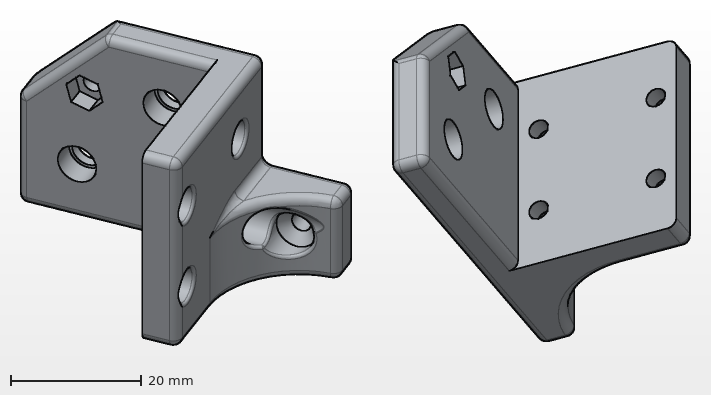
import cadquery as cq
import math

LENGTH = 54.0
DEPTH = 33.05
HEIGHT = 34.7
THICKNESS = 6.05
EDGE_RADIUS = 1.5

TOL = 1e-3
BORE_TOL = 0.01
EDGE_SAMPLES = (0, 0.25, 0.5, 0.75, 1)

FLANGE_LENGTH = 15.0
FLANGE_HEIGHT = 15.0
WALL_OUTER_X = LENGTH - FLANGE_LENGTH
ARC_CENTER_Y = -THICKNESS - FLANGE_LENGTH
WALL_INNER_X = WALL_OUTER_X - THICKNESS

CORNER_CUT = 14.7

PLATE_HOLE_CENTERS = ((10.0, 10.0), (24.4, 24.4))
PLATE_HOLE_DIAMETER = 5.4
PLATE_BORE_DIAMETER = 6.45
PLATE_BORE_DEPTH = 4.2

SCREW_DIAMETER = 3.2
NUT_CENTER = (11.25, 23.5)
NUT_ACROSS_CORNERS = 6.35
NUT_DEPTH = 3.25
NUT_TURN = 15.0

WALL_HOLE_PITCH_Y = 20.0
WALL_HOLE_PITCH_Z = 15.0
WALL_HOLE_MARGIN = 3.5
WALL_FRONT_HOLE_Y = -DEPTH + WALL_HOLE_MARGIN
WALL_BACK_HOLE_Y = WALL_FRONT_HOLE_Y + WALL_HOLE_PITCH_Y
WALL_LOW_HOLE_Z = (HEIGHT - WALL_HOLE_PITCH_Z) / 2
WALL_HIGH_HOLE_Z = WALL_LOW_HOLE_Z + WALL_HOLE_PITCH_Z
OPEN_WALL_HOLES = (
    (WALL_FRONT_HOLE_Y, WALL_LOW_HOLE_Z),
    (WALL_FRONT_HOLE_Y, WALL_HIGH_HOLE_Z),
    (WALL_BACK_HOLE_Y, WALL_HIGH_HOLE_Z),
)
FLANGE_WALL_HOLE = (WALL_BACK_HOLE_Y, WALL_LOW_HOLE_Z)
WALL_BORE_DIAMETER = 5.6
WALL_BORE_DEPTH = 3.0
WALL_BORE_START_X = WALL_OUTER_X - WALL_BORE_DEPTH

FLANGE_BORE_DIAMETER = 6.6

FLANGE_HOLE = (46.5, FLANGE_HEIGHT / 2)
FLANGE_HEAD_DIAMETER = 6.8
FLANGE_SEAT_Y = -5.0

MOUTH_RADIUS = 0.5


def y_cylinder(x, z, diameter, front, back):
    """Cylinder along Y between two Y positions."""
    axis_start = cq.Vector(x, front, z)
    return cq.Workplane(cq.Solid.makeCylinder(diameter / 2, back - front, axis_start, cq.Vector(0, 1, 0)))


def x_cylinder(y, z, diameter, start, end):
    """Cylinder along X between two X positions."""
    axis_start = cq.Vector(start, y, z)
    return cq.Workplane(cq.Solid.makeCylinder(diameter / 2, end - start, axis_start, cq.Vector(1, 0, 0)))


def box(x0, x1, y0, y1, z0, z1):
    """Box between pairs of X, Y and Z positions."""
    return cq.Workplane().box(x1 - x0, y1 - y0, z1 - z0, centered=False).translate((x0, y0, z0))


def arc_rim_waste():
    """Material above the rounded top rim of the flange's concave front."""
    inner = FLANGE_LENGTH
    outer = inner + EDGE_RADIUS
    rim_base = FLANGE_HEIGHT - EDGE_RADIUS
    rise = EDGE_RADIUS * math.sqrt(0.5)
    ring = (
        cq.Workplane("XZ")
        .moveTo(inner, FLANGE_HEIGHT)
        .lineTo(inner, rim_base)
        .threePointArc((outer - rise, rim_base + rise), (outer, FLANGE_HEIGHT))
        .close()
        .revolve(360, (0, 0, 0), (0, 1, 0))
        .translate((LENGTH, ARC_CENTER_Y, 0))
    )
    return ring.intersect(box(WALL_OUTER_X, LENGTH, ARC_CENTER_Y, 0, 0, FLANGE_HEIGHT))


def make_sharp_body():
    """Plate, wall and flange joined into one solid with sharp edges."""
    plate = box(0, WALL_OUTER_X, -THICKNESS, 0, 0, HEIGHT)
    wall = box(WALL_INNER_X, WALL_OUTER_X, -DEPTH, 0, 0, HEIGHT)

    arc_reach = FLANGE_LENGTH * math.sqrt(0.5)
    arc_middle = (LENGTH - arc_reach, ARC_CENTER_Y + arc_reach)
    flange = (
        cq.Workplane("XY")
        .moveTo(WALL_INNER_X, 0)
        .lineTo(LENGTH, 0)
        .lineTo(LENGTH, -THICKNESS)
        .threePointArc(arc_middle, (WALL_OUTER_X, ARC_CENTER_Y))
        .lineTo(WALL_INNER_X, ARC_CENTER_Y)
        .close()
        .extrude(FLANGE_HEIGHT)
    )

    corner = (
        cq.Workplane("XZ")
        .polyline([(0, HEIGHT), (CORNER_CUT, HEIGHT), (0, HEIGHT - CORNER_CUT)])
        .close()
        .extrude(THICKNESS)
    )
    return plate.union(wall).union(flange).cut(corner).cut(arc_rim_waste())


def is_rounded(edge):
    """True for every edge except the four kinds that stay sharp."""
    start = edge.startPoint()
    end = edge.endPoint()

    on_wall_inner_face = abs(start.x - WALL_INNER_X) < TOL and abs(end.x - WALL_INNER_X) < TOL
    on_back = abs(start.y) < TOL and abs(end.y) < TOL
    is_sloped = abs(start.x - end.x) > TOL and abs(start.z - end.z) > TOL
    arc_meets_wall = all(
        abs(point.x - WALL_OUTER_X) < TOL and abs(point.y - ARC_CENTER_Y) < TOL
        for point in (start, end)
    )
    middle = edge.Center()
    on_arc_rim = edge.geomType() != "LINE" and middle.z > FLANGE_HEIGHT / 2 and middle.x < LENGTH - TOL
    return not (on_wall_inner_face or (on_back and is_sloped) or arc_meets_wall or on_arc_rim)


def round_edges(body):
    """Round the outside edges and fill the corner between the wall and the flange's top."""
    edges = [edge for edge in body.edges().vals() if is_rounded(edge)]
    return body.newObject(edges).fillet(EDGE_RADIUS)


def cut_plate_holes(body):
    """Through holes with a wider bore from the plate's front face."""
    bore_back = -THICKNESS + PLATE_BORE_DEPTH
    for x, z in PLATE_HOLE_CENTERS:
        body = body.cut(y_cylinder(x, z, PLATE_HOLE_DIAMETER, -THICKNESS, 0))
        body = body.cut(y_cylinder(x, z, PLATE_BORE_DIAMETER, -THICKNESS, bore_back))
    return body


def cut_nut_hole(body):
    """Screw hole with a nut pocket sunk in the plate's front face."""
    x, z = NUT_CENTER
    nut = (
        cq.Workplane("XZ")
        .polygon(6, NUT_ACROSS_CORNERS)
        .extrude(NUT_DEPTH)
        .rotate((0, 0, 0), (0, 1, 0), NUT_TURN)
        .translate((x, -THICKNESS + NUT_DEPTH, z))
    )
    return body.cut(nut).cut(y_cylinder(x, z, SCREW_DIAMETER, -THICKNESS, 0))


def cut_wall_holes(body):
    """Screw holes through the wall, three of them with flared counterbores in its outer face."""
    for y, z in OPEN_WALL_HOLES + (FLANGE_WALL_HOLE,):
        body = body.cut(x_cylinder(y, z, SCREW_DIAMETER, WALL_INNER_X, WALL_OUTER_X))
    for y, z in OPEN_WALL_HOLES:
        body = body.cut(flared_bore().translate((0, y, z)))
    return body


def flared_bore():
    """Counterbore about the X axis whose mouth curves outward to meet the wall's outer face."""
    bore_radius = WALL_BORE_DIAMETER / 2
    mouth_radius = bore_radius + MOUTH_RADIUS
    flare_bulge = MOUTH_RADIUS * (1 - math.sqrt(0.5))
    flare_middle = (WALL_OUTER_X - flare_bulge, bore_radius + flare_bulge)
    return (
        cq.Workplane("XY")
        .moveTo(WALL_BORE_START_X, 0)
        .lineTo(WALL_BORE_START_X, bore_radius)
        .lineTo(WALL_OUTER_X - MOUTH_RADIUS, bore_radius)
        .threePointArc(flare_middle, (WALL_OUTER_X, mouth_radius))
        .lineTo(WALL_OUTER_X, 0)
        .close()
        .revolve(360, (0, 0, 0), (1, 0, 0))
    )


def flange_screw_seat():
    """Screw head clearance, countersink and screw hole of the flange, along Y."""
    x, z = FLANGE_HOLE
    head_radius = FLANGE_HEAD_DIAMETER / 2
    screw_radius = SCREW_DIAMETER / 2
    cone_height = head_radius - screw_radius
    seat_center = cq.Vector(x, FLANGE_SEAT_Y, z)
    cone = cq.Solid.makeCone(head_radius, screw_radius, cone_height, seat_center, cq.Vector(0, 1, 0))
    head = y_cylinder(x, z, FLANGE_HEAD_DIAMETER, -DEPTH, FLANGE_SEAT_Y)
    screw = y_cylinder(x, z, SCREW_DIAMETER, FLANGE_SEAT_Y, 0)
    return head.union(cq.Workplane(cone)).union(screw)


def is_flange_mouth(edge):
    """True for an edge where the crossing bore or the screw head clearance opens on the flange."""
    bore_y, bore_z = FLANGE_WALL_HOLE
    head_x, head_z = FLANGE_HOLE
    points = [edge.positionAt(share) for share in EDGE_SAMPLES]

    on_bore = all(
        abs(math.hypot(point.y - bore_y, point.z - bore_z) - FLANGE_BORE_DIAMETER / 2) < BORE_TOL
        for point in points
    )
    on_head = all(
        abs(math.hypot(point.x - head_x, point.z - head_z) - FLANGE_HEAD_DIAMETER / 2) < BORE_TOL
        for point in points
    )
    is_inside = edge.Center().x < WALL_BORE_START_X + TOL or edge.Center().y > FLANGE_SEAT_Y - TOL
    return (on_bore or on_head) and not is_inside and edge.geomType() != "LINE"


def cut_flange_holes(body):
    """Countersunk hole in the flange, crossed by the bore of the wall hole behind the flange."""
    y, z = FLANGE_WALL_HOLE
    body = body.cut(x_cylinder(y, z, FLANGE_BORE_DIAMETER, WALL_BORE_START_X, LENGTH))
    body = body.cut(flange_screw_seat())
    mouth = [edge for edge in body.edges().vals() if is_flange_mouth(edge)]
    return body.newObject(mouth).fillet(MOUTH_RADIUS)


result = make_sharp_body()
result = round_edges(result)
result = cut_plate_holes(result)
result = cut_nut_hole(result)
result = cut_wall_holes(result)
result = cut_flange_holes(result)